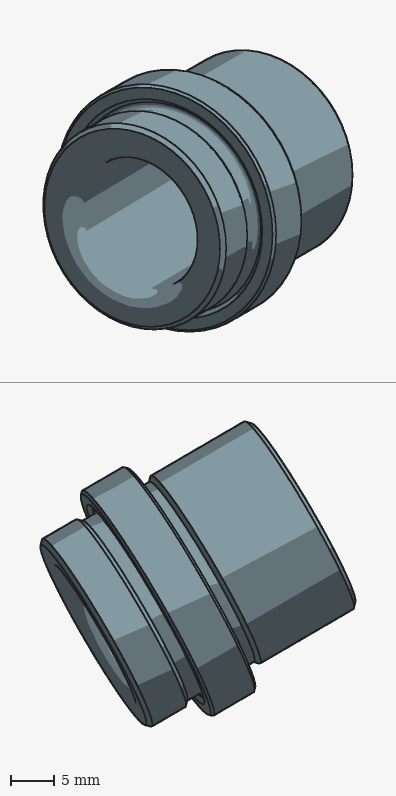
import cadquery as cq

length = 28.0
flange_radius = 15.0
body_radius = 12.5
groove_radius = 12.0
bore_radius = 8.0
bore_mouth_round = 2.0

front_land_end = 5.0
flange_start = 7.0
flange_end = 13.0
rear_land_start = 14.5

groove_chamfer = body_radius - groove_radius
undercut_outer_radius = 13.3
undercut_floor_radius = 12.78
undercut_floor = flange_start + undercut_outer_radius - undercut_floor_radius
undercut_fillet = 0.5
end_chamfer = 0.5
flange_chamfer = 0.3


def turned_body():
    """Turned outside: two relief grooves beside the flange, the front one undercutting its face."""
    profile = (
        cq.Workplane("XY")
        .moveTo(0, 0)
        .lineTo(body_radius - end_chamfer, 0)
        .lineTo(body_radius, end_chamfer)
        .lineTo(body_radius, front_land_end)
        .lineTo(groove_radius, front_land_end + groove_chamfer)
        .lineTo(groove_radius, undercut_floor - undercut_fillet)
        .radiusArc((groove_radius + undercut_fillet, undercut_floor), undercut_fillet)
        .lineTo(undercut_floor_radius, undercut_floor)
        .lineTo(undercut_outer_radius, flange_start)
        .lineTo(flange_radius - flange_chamfer, flange_start)
        .lineTo(flange_radius, flange_start + flange_chamfer)
        .lineTo(flange_radius, flange_end - flange_chamfer)
        .lineTo(flange_radius - flange_chamfer, flange_end)
        .lineTo(groove_radius, flange_end)
        .lineTo(groove_radius, rear_land_start)
        .lineTo(body_radius, rear_land_start + groove_chamfer)
        .lineTo(body_radius, length - end_chamfer)
        .lineTo(body_radius - end_chamfer, length)
        .lineTo(0, length)
        .close()
    )
    return profile.revolve(360, (0, 0, 0), (0, 1, 0))


def bore():
    """Through bore, flared by a quarter-round at the front mouth."""
    mouth_radius = bore_radius + bore_mouth_round
    profile = (
        cq.Workplane("XY")
        .moveTo(0, 0)
        .lineTo(mouth_radius, 0)
        .radiusArc((bore_radius, bore_mouth_round), bore_mouth_round)
        .lineTo(bore_radius, length)
        .lineTo(0, length)
        .close()
    )
    return profile.revolve(360, (0, 0, 0), (0, 1, 0))


result = turned_body().cut(bore())